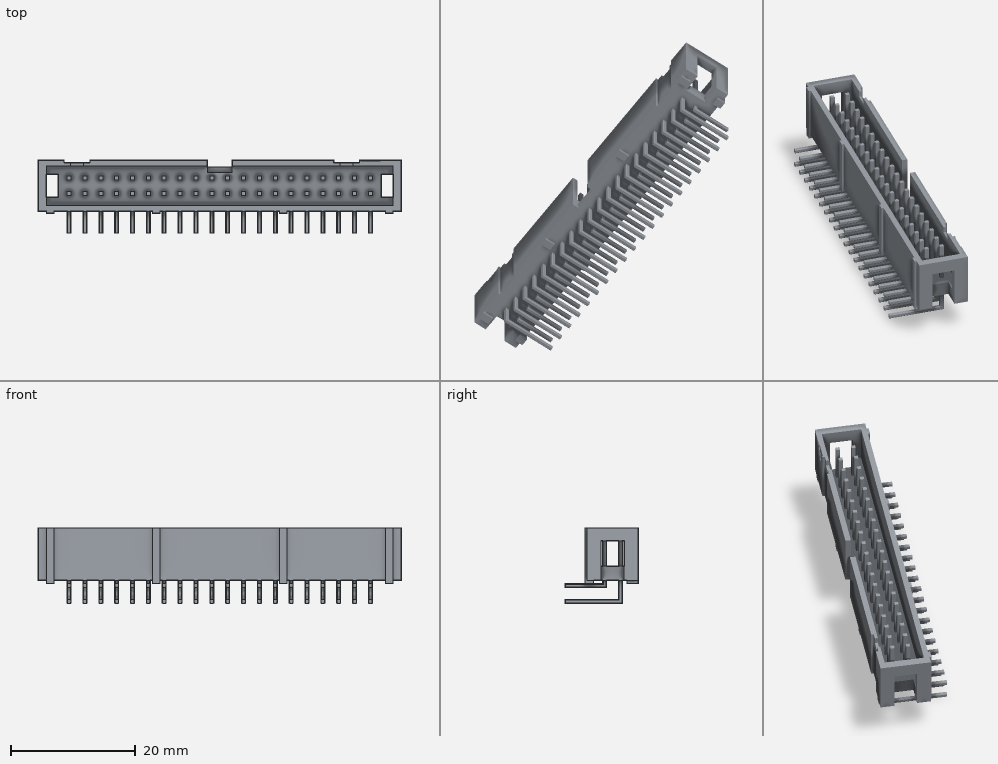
import cadquery as cq

HOUSING_LENGTH = 58.12
HOUSING_DEPTH = 8.2
HOUSING_HEIGHT = 8.4
END_WALL = 1.3
SIDE_WALL = 0.9
FLOOR_THICKNESS = 2.26

END_SLOT_WIDTH = 3.68
END_SLOT_TOP_DROP = 2.1
END_SLOT_REACH = 3.17

STANDOFF_WIDTH = 1.24
STANDOFF_HEIGHT = 0.54
RIB_PROJECTION = 0.34
FRONT_STANDOFF_REACH = 1.05
BACK_STANDOFF_REACH = 1.82
INNER_STANDOFF_X = 10.18

KEY_WIDTH = 4.0
KEY_DEPTH = 1.06
KEY_LEDGE = 0.9
KEY_LEDGE_DROP = 1.0

LATCH_RECESS_WIDTH = 4.1
LATCH_RECESS_DEPTH = 0.4
LATCH_NOTCH_WIDTH = 2.1
LATCH_NOTCH_DEPTH = 1.0

PIN_COLUMNS = 20
PITCH = 2.54
PIN_SIZE = 0.64
PIN_TOP_DROP = 0.2
LEG_CHAMFER = 0.1
TOTAL_HEIGHT = 12.12
TOTAL_DEPTH = 11.7

MARKER_WIDTH = 3.1
MARKER_HEIGHT = 2.6
MARKER_DEPTH = 0.12

HALF_LENGTH = HOUSING_LENGTH / 2
BACK_Y = HOUSING_DEPTH / 2
FRONT_Y = -BACK_Y
RIM = HOUSING_HEIGHT
PIN_TIP_Y = BACK_Y - TOTAL_DEPTH
LOW_LEG_AXIS_Z = RIM - TOTAL_HEIGHT + PIN_SIZE / 2
HIGH_LEG_AXIS_Z = LOW_LEG_AXIS_Z + PITCH
END_STANDOFF_X = HALF_LENGTH - END_WALL - STANDOFF_WIDTH / 2
LAST_PIN_X = (PIN_COLUMNS - 1) * PITCH / 2
LEFT_LATCH_X = -LAST_PIN_X + PITCH / 2
RIGHT_LATCH_X = LAST_PIN_X - 1.5 * PITCH


def block(x_range, y_range, z_range):
    """Axis-aligned box between the given limits."""
    size = [high - low for low, high in (x_range, y_range, z_range)]
    corner = (x_range[0], y_range[0], z_range[0])
    return cq.Workplane("XY").box(*size, centered=False).translate(corner)


def span(centre, width):
    return (centre - width / 2, centre + width / 2)


def shell():
    """Box with a solid floor, open at the rim."""
    outside = block(span(0, HOUSING_LENGTH), (FRONT_Y, BACK_Y), (0, RIM))
    cavity = block(
        span(0, HOUSING_LENGTH - 2 * END_WALL),
        span(0, HOUSING_DEPTH - 2 * SIDE_WALL),
        (FLOOR_THICKNESS, RIM),
    )
    return outside.cut(cavity)


def end_slot(side):
    centre = side * (HALF_LENGTH - END_SLOT_REACH / 2)
    return block(span(centre, END_SLOT_REACH), span(0, END_SLOT_WIDTH), (0, RIM - END_SLOT_TOP_DROP))


def key_slot():
    """Cutter that opens the back wall to full height and lowers a ledge of floor inside it."""
    width = span(0, KEY_WIDTH)
    opening_y = BACK_Y - KEY_DEPTH
    opening = block(width, (opening_y, BACK_Y), (0, RIM))
    ledge_height = (FLOOR_THICKNESS - KEY_LEDGE_DROP, FLOOR_THICKNESS)
    ledge = block(width, (opening_y - KEY_LEDGE, opening_y), ledge_height)
    return opening.union(ledge)


def latch_cut(x):
    """Cutter for a full-height recess with a narrower notch through the wall at the rim."""
    recess = block(span(x, LATCH_RECESS_WIDTH), (BACK_Y - LATCH_RECESS_DEPTH, BACK_Y), (0, RIM))
    notch = block(span(x, LATCH_NOTCH_WIDTH), (BACK_Y - SIDE_WALL, BACK_Y), (RIM - LATCH_NOTCH_DEPTH, RIM))
    return recess.union(notch)


def standoff_pair(x):
    """Front standoff with its rib, and the back standoff behind it."""
    width = span(x, STANDOFF_WIDTH)
    rib = block(width, (FRONT_Y - RIB_PROJECTION, FRONT_Y), (-STANDOFF_HEIGHT, RIM))
    front = block(width, (FRONT_Y, FRONT_Y + FRONT_STANDOFF_REACH), (-STANDOFF_HEIGHT, 0))
    back = block(width, (BACK_Y - BACK_STANDOFF_REACH, BACK_Y), (-STANDOFF_HEIGHT, 0))
    return rib.union(front).union(back)


def pin(x, y, leg_axis_z):
    """Plain square post down to the underside, then a chamfered leg turning forward."""
    post = block(span(x, PIN_SIZE), span(y, PIN_SIZE), (0, RIM - PIN_TOP_DROP))
    profile = cq.Sketch().rect(PIN_SIZE, PIN_SIZE).vertices().chamfer(LEG_CHAMFER)
    path = (
        cq.Workplane("YZ", origin=(x, 0, 0))
        .moveTo(y, 0)
        .lineTo(y, leg_axis_z)
        .lineTo(PIN_TIP_Y, leg_axis_z)
    )
    leg = cq.Workplane("XY", origin=(x, y, 0)).placeSketch(profile).sweep(path, transition="right")
    return post.union(leg)


def first_pin_marker():
    """Cutter for a triangle in the back face with its flat side along the rim."""
    left, right = span(LAST_PIN_X, MARKER_WIDTH)
    outline = [(left, RIM), (right, RIM), (LAST_PIN_X, RIM - MARKER_HEIGHT)]
    triangle = cq.Workplane("XZ").polyline(outline).close().extrude(MARKER_DEPTH)
    return triangle.translate((0, BACK_Y, 0))


housing = shell().cut(key_slot())
for side in (-1, 1):
    housing = housing.cut(end_slot(side))
for x in (LEFT_LATCH_X, RIGHT_LATCH_X):
    housing = housing.cut(latch_cut(x))
for x in (-END_STANDOFF_X, -INNER_STANDOFF_X, INNER_STANDOFF_X, END_STANDOFF_X):
    housing = housing.union(standoff_pair(x))
housing = housing.cut(first_pin_marker())

pins = []
for column in range(PIN_COLUMNS):
    x = column * PITCH - LAST_PIN_X
    pins.append(pin(x, PITCH / 2, LOW_LEG_AXIS_Z).val())
    pins.append(pin(x, -PITCH / 2, HIGH_LEG_AXIS_Z).val())

result = cq.Workplane("XY").newObject([housing.val().fuse(*pins)])